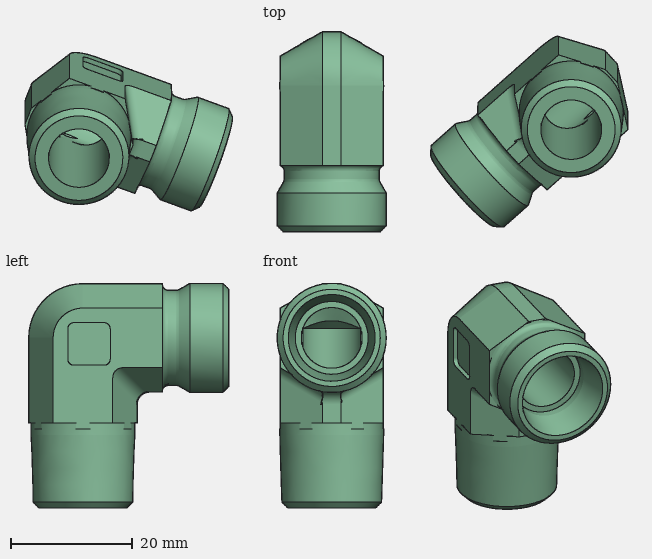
import cadquery as cq
import math


across_flats = 17.0
corner_flat_width = 3.0
hexagon_angle = 30
stub_body_end = 14.0
port_body_end = 13.05
inner_fillet = 2.0

stub_end = 28.0
stub_diameter = 17.13
flats_below_body = 1.0
taper_start = 16.0
taper_ratio = 1 / 16

port_end = 24.0
port_diameter = 18.0
neck_diameter = 15.7
neck_fillet = 1.0
collar_start = 17.6
collar_angle = 30

end_chamfer = 1.0

bore_diameter = 10.0
bore_overshoot = 1.5
drill_point_angle = 118
socket_diameter = 12.0
socket_depth = 7.0
mouth_diameter = 14.3
mouth_half_angle = 12

panel_size = 7.0
panel_depth = 0.78
panel_corner = 1.0
panel_offset = 1.0

half_width = across_flats / 2
flat_half = corner_flat_width / 2
hexagon_slope = math.tan(math.radians(hexagon_angle))
half_height = half_width / math.cos(math.radians(hexagon_angle)) - flat_half * hexagon_slope
shoulder = half_height - (half_width - flat_half) * hexagon_slope
upper_corners = [
    (-half_width, shoulder),
    (-flat_half, half_height),
    (flat_half, half_height),
    (half_width, shoulder),
]

pick_margin = 0.05


def bar_outline(plane):
    """Flattened hexagon with vertical sides."""
    lower_corners = [(-x, -y) for x, y in upper_corners]
    return cq.Workplane(plane).polyline(upper_corners + lower_corners).close()


def revolve_about_z(points):
    """Turn a (radius, height) outline about Z."""
    return cq.Workplane("XZ").polyline(points).close().revolve(360, (0, 0, 0), (0, 1, 0))


def to_port_axis(shape):
    """Turn +Z into the -Y direction of the port."""
    return shape.rotate((0, 0, 0), (1, 0, 0), 90)


def make_body():
    stub_leg = bar_outline("XY").extrude(-stub_body_end)
    port_leg = bar_outline("XZ").extrude(port_body_end)
    bend_points = [(-half_width, 0)] + upper_corners + [(half_width, 0)]
    bend = cq.Workplane("XY").polyline(bend_points).close().revolve(90, (0, 0, 0), (1, 0, 0))
    body = stub_leg.union(port_leg).union(bend).clean()
    valley_edges = cq.selectors.BoxSelector(
        (-half_width, -half_height - pick_margin, -half_height - pick_margin),
        (half_width, -shoulder, -shoulder),
    )
    return body.edges(valley_edges).fillet(inner_fillet)


def make_stub():
    radius = stub_diameter / 2
    taper_end = stub_end - end_chamfer
    tip_radius = radius - (taper_end - taper_start) * taper_ratio / 2
    stub = revolve_about_z([
        (0, 0),
        (radius, 0),
        (radius, -taper_start),
        (tip_radius, -taper_end),
        (tip_radius - end_chamfer, -stub_end),
        (0, -stub_end),
    ])
    flats_end = stub_body_end + flats_below_body
    flats = bar_outline("XY").extrude(-flats_end)
    below_flats = (
        cq.Workplane("XY")
        .workplane(offset=-flats_end)
        .circle(radius)
        .extrude(flats_end - stub_end)
    )
    return stub.intersect(flats.union(below_flats))


def make_port():
    radius = port_diameter / 2
    neck_radius = neck_diameter / 2
    collar_length = (radius - neck_radius) / math.tan(math.radians(collar_angle))
    cone_start = collar_start - collar_length
    port = revolve_about_z([
        (0, 0),
        (neck_radius, 0),
        (neck_radius, cone_start),
        (radius, collar_start),
        (radius, port_end - end_chamfer),
        (radius - end_chamfer, port_end),
        (0, port_end),
    ])
    cone_foot = cq.selectors.BoxSelector(
        (-radius, -radius, cone_start - pick_margin),
        (radius, radius, cone_start + pick_margin),
        boundingbox=True,
    )
    return to_port_axis(port.edges(cone_foot).fillet(neck_fillet))


def make_neck_fillet():
    """Hollow flare from the neck to the body, trimmed to the body section."""
    neck_radius = neck_diameter / 2
    flare_end = port_body_end + neck_fillet
    midpoint = neck_fillet * (1 - math.sqrt(0.5))
    flare = (
        cq.Workplane("XZ")
        .moveTo(0, port_body_end)
        .lineTo(neck_radius + neck_fillet, port_body_end)
        .threePointArc((neck_radius + midpoint, port_body_end + midpoint), (neck_radius, flare_end))
        .lineTo(0, flare_end)
        .close()
        .revolve(360, (0, 0, 0), (0, 1, 0))
    )
    return to_port_axis(flare).intersect(bar_outline("XZ").extrude(flare_end))


def drilled_hole(length):
    """Hole along Z that starts at length and ends in a drill point past the origin."""
    radius = bore_diameter / 2
    point_height = radius / math.tan(math.radians(drill_point_angle / 2))
    return revolve_about_z([
        (0, length),
        (radius, length),
        (radius, -bore_overshoot),
        (0, -bore_overshoot - point_height),
    ])


def make_socket():
    socket_radius = socket_diameter / 2
    mouth_radius = mouth_diameter / 2
    mouth_depth = (mouth_radius - socket_radius) / math.tan(math.radians(mouth_half_angle))
    socket = revolve_about_z([
        (0, port_end - socket_depth),
        (socket_radius, port_end - socket_depth),
        (socket_radius, port_end - mouth_depth),
        (mouth_radius, port_end),
        (0, port_end),
    ])
    return to_port_axis(socket)


def make_panel():
    return (
        cq.Workplane("XY")
        .box(panel_depth, panel_size, panel_size, centered=(False, True, True))
        .edges("|X")
        .fillet(panel_corner)
        .translate((-half_width, -panel_offset, -panel_offset))
    )


stub_bore = drilled_hole(stub_end).rotate((0, 0, 0), (1, 0, 0), 180)
port_bore = to_port_axis(drilled_hole(port_end))

solid = make_body().union(make_stub()).union(make_port()).union(make_neck_fillet())
result = solid.cut(stub_bore).cut(port_bore).cut(make_socket()).cut(make_panel())